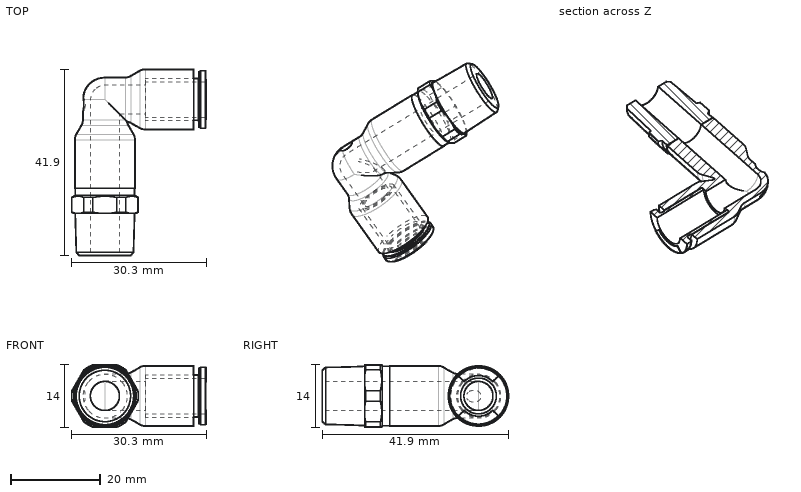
import cadquery as cq
import math


neck_radius = 4.95
leg_radius = 6.8
leg_length = 19.93
flare_start = 4.5
flare_angle = 30.0
flare_fillet_radius = 2.5
bore_radius = 3.25

dimple_sphere_radius = 3.0
dimple_depth = 0.5
dimple_shift = 1.1

overall_length = 41.85
stem_length = overall_length - leg_radius
collar_radius = 6.7
hex_start = 21.55
hex_end = 25.58
hex_across_flats = 14.0
hex_corner_radius = 7.5
hex_tip_side_radius = 7.05
hex_bevel_angle = 30.0
thread_root_radius = 6.7
thread_tip_radius = 6.45
tip_face_radius = 5.78
tip_chamfer_length = 0.75

ring_sleeve_radius = 4.75
tube_radius = 4.0
sleeve_chamfer = 0.15
flange_start = 21.1
flange_face = 22.65
flange_radius = 6.5
flange_back_radius = 6.25
flange_back_step = 0.13
flange_back_chamfer = 0.35
flange_front_chamfer = 0.1
pad_height = 0.13
pad_inner_radius = 4.55
pad_outer_radius = 6.3
pad_span_angle = 90.0

flare = math.radians(flare_angle)
fillet_run = flare_fillet_radius * math.sin(flare)
fillet_rise = flare_fillet_radius * (1 - math.cos(flare))
cone_rise = leg_radius - neck_radius - 2 * fillet_rise
flare_end = flare_start + 2 * fillet_run + cone_rise / math.tan(flare)


def turn(profile):
    """Revolve a closed (distance, radius) profile about the X axis."""
    return profile.close().revolve(360, (0, 0, 0), (1, 0, 0))


def to_stem_axis(body):
    """Swing a body built along +X onto the -Y axis."""
    return body.rotate((0, 0, 0), (0, 0, 1), -90)


def cylinder_along_x(radius, start, end):
    return cq.Workplane("YZ", origin=(start, 0, 0)).circle(radius).extrude(end - start)


def make_leg():
    """Outer shape of one elbow leg, along +X."""
    half_run = flare_fillet_radius * math.sin(flare / 2)
    half_rise = flare_fillet_radius * (1 - math.cos(flare / 2))
    profile = (
        cq.Workplane("XY")
        .lineTo(0, neck_radius)
        .lineTo(flare_start, neck_radius)
        .threePointArc(
            (flare_start + half_run, neck_radius + half_rise),
            (flare_start + fillet_run, neck_radius + fillet_rise),
        )
        .lineTo(flare_end - fillet_run, leg_radius - fillet_rise)
        .threePointArc((flare_end - half_run, leg_radius - half_rise), (flare_end, leg_radius))
        .lineTo(leg_length, leg_radius)
        .lineTo(leg_length, 0)
    )
    return turn(profile)


def make_elbow():
    outside = make_leg().union(to_stem_axis(make_leg())).union(cq.Workplane("XY").sphere(neck_radius))

    bore = cylinder_along_x(bore_radius, 0, leg_length)
    passage = bore.union(to_stem_axis(bore)).union(cq.Workplane("XY").sphere(bore_radius))
    socket = cylinder_along_x(ring_sleeve_radius, flare_end, leg_length)

    dimple_x = -(neck_radius - dimple_depth + dimple_sphere_radius)
    dimple = cq.Workplane("XY").sphere(dimple_sphere_radius).translate((dimple_x, -dimple_shift, 0))

    return outside.cut(passage).cut(socket).cut(dimple)


def make_hex():
    """Hexagon with flats facing +Z and -Z, trimmed to a turned blank that bevels its corners."""
    bevel_slope = math.tan(math.radians(hex_bevel_angle))
    collar_side_bevel = (hex_corner_radius - collar_radius) * bevel_slope
    tip_side_bevel = (hex_corner_radius - hex_tip_side_radius) * bevel_slope
    blank = turn(
        cq.Workplane("XY")
        .moveTo(hex_start, 0)
        .lineTo(hex_start, collar_radius)
        .lineTo(hex_start + collar_side_bevel, hex_corner_radius)
        .lineTo(hex_end - tip_side_bevel, hex_corner_radius)
        .lineTo(hex_end, hex_tip_side_radius)
        .lineTo(hex_end, 0)
    )
    across_corners = hex_across_flats / math.cos(math.pi / 6)
    prism = (
        cq.Workplane("YZ", origin=(hex_start, 0, 0))
        .polygon(6, across_corners)
        .extrude(hex_end - hex_start)
    )
    return blank.intersect(prism)


def make_stem():
    collar = cylinder_along_x(collar_radius, leg_length, hex_start)
    thread = turn(
        cq.Workplane("XY")
        .moveTo(hex_end, 0)
        .lineTo(hex_end, thread_root_radius)
        .lineTo(stem_length - tip_chamfer_length, thread_tip_radius)
        .lineTo(stem_length, tip_face_radius)
        .lineTo(stem_length, 0)
    )
    bore = cylinder_along_x(bore_radius, leg_length, stem_length)
    return to_stem_axis(collar.union(make_hex()).union(thread).cut(bore))


def make_release_ring():
    """Sleeve that fills the socket, with a flange outside it and two raised pads on the flange face."""
    ring = turn(
        cq.Workplane("XY")
        .moveTo(flare_end, tube_radius)
        .lineTo(flare_end, ring_sleeve_radius)
        .lineTo(flange_start - sleeve_chamfer, ring_sleeve_radius)
        .lineTo(flange_start, ring_sleeve_radius + sleeve_chamfer)
        .lineTo(flange_start, flange_back_radius)
        .lineTo(flange_start + flange_back_step, flange_back_radius)
        .lineTo(flange_start + flange_back_step + flange_back_chamfer, flange_radius)
        .lineTo(flange_face - flange_front_chamfer, flange_radius)
        .lineTo(flange_face, flange_radius - flange_front_chamfer)
        .lineTo(flange_face, tube_radius)
    )
    pad_section = (
        cq.Workplane("XY")
        .moveTo(flange_face, pad_inner_radius)
        .lineTo(flange_face, pad_outer_radius)
        .lineTo(flange_face + pad_height, pad_outer_radius)
        .lineTo(flange_face + pad_height, pad_inner_radius)
        .close()
    )
    pad = pad_section.revolve(pad_span_angle, (0, 0, 0), (1, 0, 0))
    for middle_angle in (90, 270):
        start_angle = middle_angle - pad_span_angle / 2
        ring = ring.union(pad.rotate((0, 0, 0), (1, 0, 0), start_angle))
    return ring


elbow = make_elbow()
stem = make_stem()
release_ring = make_release_ring()

result = cq.Compound.makeCompound([elbow.val(), stem.val(), release_ring.val()])